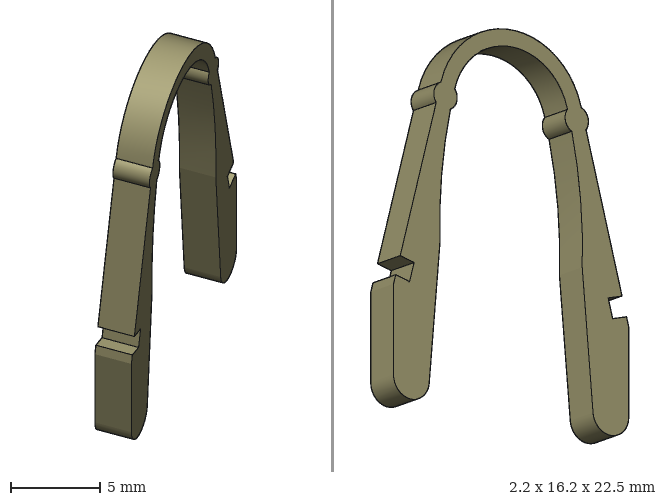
import cadquery as cq
import math

height = 22.5
width = 16.24
thickness = 2.2

bow_outer_radius = 5.0
bow_wall = 1.0
bow_inner_radius = bow_outer_radius - bow_wall
bow_mid_radius = bow_outer_radius - bow_wall / 2
bow_center_z = height - bow_outer_radius

leg_splay = math.radians(15)
inner_bend_y = 4.9
inner_bend_z = 9.45
foot_radius = 1.24

bead_radius = 0.8
bead_drop = 0.72

notch_top_z = 8.2
notch_depth = 1.0
notch_length = 1.2

half_width = width / 2
foot_y = half_width - foot_radius
foot_z = foot_radius


def bow_point(radius, angle):
    """Point (y, z) at an angle above the horizontal through the bow center."""
    return radius * math.cos(angle), bow_center_z + radius * math.sin(angle)


def outer_edge_z(y):
    """Height of the sloping outer leg edge at distance y from the middle."""
    start_y, start_z = bow_point(bow_outer_radius, leg_splay)
    return start_z - (y - start_y) / math.tan(leg_splay)


def outer_edge_y(z):
    """Distance of the sloping outer leg edge from the middle at height z."""
    start_y, start_z = bow_point(bow_outer_radius, leg_splay)
    return start_y + (start_z - z) * math.tan(leg_splay)


def foot_tangent_point():
    """Point where the straight inner edge touches the round foot."""
    to_bend_y = inner_bend_y - foot_y
    to_bend_z = inner_bend_z - foot_z
    bend_angle = math.atan2(to_bend_z, to_bend_y)
    touch_angle = bend_angle + math.acos(foot_radius / math.hypot(to_bend_y, to_bend_z))
    return (
        foot_y + foot_radius * math.cos(touch_angle),
        foot_z + foot_radius * math.sin(touch_angle),
    )


def make_half_body():
    """Half of the bow with one leg, on the +Y side."""
    bow_middle_angle = (leg_splay + math.pi / 2) / 2
    return (
        cq.Workplane("YZ")
        .moveTo(0, height)
        .threePointArc(
            bow_point(bow_outer_radius, bow_middle_angle),
            bow_point(bow_outer_radius, leg_splay),
        )
        .lineTo(half_width, outer_edge_z(half_width))
        .lineTo(half_width, foot_z)
        .threePointArc((foot_y, 0), foot_tangent_point())
        .lineTo(inner_bend_y, inner_bend_z)
        .threePointArc(inner_arc_middle(), bow_point(bow_inner_radius, leg_splay))
        .threePointArc(
            bow_point(bow_inner_radius, bow_middle_angle),
            (0, bow_center_z + bow_inner_radius),
        )
        .close()
        .extrude(thickness / 2, both=True)
    )


def inner_arc_middle():
    """Middle of the inner leg arc that is tangent to the bow at its upper end."""
    top_y, top_z = bow_point(bow_inner_radius, leg_splay)
    run_y = inner_bend_y - top_y
    drop_z = top_z - inner_bend_z
    chord = math.hypot(run_y, drop_z)
    half_turn = leg_splay - math.atan2(run_y, drop_z)
    bulge = chord / 2 * math.tan(half_turn / 2)
    return (
        (top_y + inner_bend_y) / 2 + bulge * drop_z / chord,
        (top_z + inner_bend_z) / 2 + bulge * run_y / chord,
    )


def make_bead():
    end_y, end_z = bow_point(bow_mid_radius, leg_splay)
    return (
        cq.Workplane("YZ")
        .center(end_y + bead_drop * math.sin(leg_splay), end_z - bead_drop * math.cos(leg_splay))
        .circle(bead_radius)
        .extrude(thickness / 2, both=True)
    )


def make_notch():
    """Block square to the outer leg edge, centered on it so only its inner half cuts."""
    return (
        cq.Workplane("XY")
        .box(thickness, 2 * notch_depth, notch_length)
        .translate((0, 0, -notch_length / 2))
        .rotate((0, 0, 0), (1, 0, 0), math.degrees(leg_splay))
        .translate((0, outer_edge_y(notch_top_z), notch_top_z))
    )


half_clip = make_half_body().union(make_bead()).cut(make_notch())
result = half_clip.union(half_clip.mirror("XZ"))